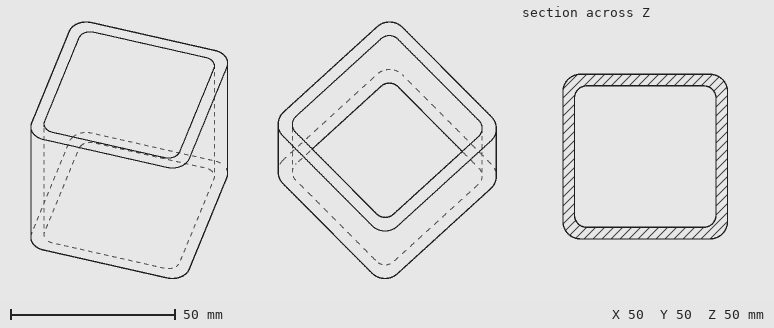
import cadquery as cq

side = 50.0
length = 50.0
wall = 3.6

outer_radius = 1.5 * wall
inner_radius = wall


def rounded_square_bar(width, corner_radius):
    """Upright square bar as long as the tube, with rounded vertical edges."""
    bar = cq.Workplane("XY").box(width, width, length)
    return bar.edges("|Z").fillet(corner_radius)


outer_body = rounded_square_bar(side, outer_radius)
bore = rounded_square_bar(side - 2 * wall, inner_radius)

result = outer_body.cut(bore)